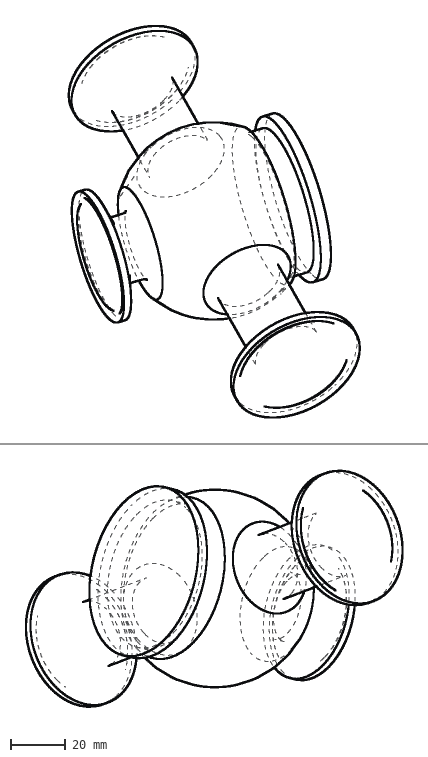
import cadquery as cq
import math

BALL_DIAMETER = 73.0
BALL_OFFSET_X = -0.43
SIDE_FLAT_DIAMETER = 34.95
FRONT_FLAT_DISTANCE = 29.4
BACK_FLAT_DISTANCE = 20.0

OVERALL_LENGTH_X = 158.75
OVERALL_LENGTH_Y = 79.88
SIDE_REACH = OVERALL_LENGTH_X / 2
BACK_REACH = 33.4
FRONT_REACH = OVERALL_LENGTH_Y - BACK_REACH

TUBE_DIAMETER = 25.4
FERRULE_DIAMETER = 50.5
FERRULE_BACK_ANGLE = 20.0
SIDE_FERRULE_RIM = 2.75
SIDE_BLEND_RADIUS = 3.8
FRONT_FERRULE_RIM = 2.87
FRONT_BLEND_RADIUS = 3.0

GROOVE_DIAMETER = 43.5
GROOVE_HALF_WIDTH = 1.9
GROOVE_WALL_ANGLE = 60.0

NECK_DIAMETER = 55.68
FLANGE_DIAMETER = 64.0
FLANGE_RIM = 4.1
FLANGE_THICKNESS = 5.2

SIDE_ROOT_RADIUS = 1.2
FRONT_ROOT_RADIUS = 3.1
BACK_ROOT_RADIUS = 1.0

RIGHT, BACK, LEFT, FRONT = 0, 90, 180, 270


def side_flat_distance():
    """Distance from the ball centre at which a flat has the side flat diameter."""
    return math.sqrt((BALL_DIAMETER / 2) ** 2 - (SIDE_FLAT_DIAMETER / 2) ** 2)


def make_ball():
    """Ball trimmed flat on the left, right, front and back."""
    half_x = side_flat_distance()
    trim = cq.Workplane("XY").box(
        2 * half_x,
        FRONT_FLAT_DISTANCE + BACK_FLAT_DISTANCE,
        2 * BALL_DIAMETER,
    )
    trim = trim.translate((0, (BACK_FLAT_DISTANCE - FRONT_FLAT_DISTANCE) / 2, 0))
    ball = cq.Workplane("XY").sphere(BALL_DIAMETER / 2).intersect(trim)
    return ball.translate((BALL_OFFSET_X, 0, 0))


def start_port(radius, flat, root_radius):
    """Begin a port half-profile along +X: axis, flat, and the fillet up to its tube."""
    start = root_radius * (1 - math.sqrt(0.5))
    return (
        cq.Workplane("XY")
        .lineTo(flat, 0)
        .lineTo(flat, radius + root_radius)
        .threePointArc((flat + start, radius + start), (flat + root_radius, radius))
    )


def finish_port(profile, direction):
    """Close a half-profile on the axis, revolve it about X and turn it to its direction."""
    port = profile.close().revolve(360, (0, 0, 0), (1, 0, 0))
    return port.rotate((0, 0, 0), (0, 0, 1), direction)


def add_groove(profile, face):
    """Run down a clamp face at x = face, through its gasket groove."""
    middle = GROOVE_DIAMETER / 2
    wall = math.radians(GROOVE_WALL_ANGLE)
    bend_half_width = GROOVE_HALF_WIDTH / 2
    bend_radius = bend_half_width / math.sin(wall)
    bend_depth = bend_radius * (1 - math.cos(wall))
    depth = 2 * bend_depth
    edge_y = GROOVE_HALF_WIDTH - bend_radius * math.sin(wall / 2)
    edge_x = face - bend_radius * (1 - math.cos(wall / 2))
    return (
        profile.lineTo(face, middle + GROOVE_HALF_WIDTH)
        .threePointArc((edge_x, middle + edge_y), (face - bend_depth, middle + bend_half_width))
        .threePointArc((face - depth, middle), (face - bend_depth, middle - bend_half_width))
        .threePointArc((edge_x, middle - edge_y), (face, middle - GROOVE_HALF_WIDTH))
    )


def make_ferrule_port(direction, flat, face, root_radius, rim, blend_radius):
    """Tube from the ball flat to a small clamp ferrule with a gasket groove."""
    tube_radius = TUBE_DIAMETER / 2
    rim_radius = FERRULE_DIAMETER / 2
    slope = math.radians(FERRULE_BACK_ANGLE)

    centre_y = tube_radius + blend_radius
    back_y = centre_y - blend_radius * math.sin(slope)
    back_x = face - rim - (rim_radius - back_y) * math.tan(slope)
    centre_x = back_x - blend_radius * math.cos(slope)
    mid_angle = (math.pi / 2 + slope) / 2
    mid_x = centre_x + blend_radius * math.cos(mid_angle)
    mid_y = centre_y - blend_radius * math.sin(mid_angle)

    profile = (
        start_port(tube_radius, flat, root_radius)
        .lineTo(centre_x, tube_radius)
        .threePointArc((mid_x, mid_y), (back_x, back_y))
        .lineTo(face - rim, rim_radius)
        .lineTo(face, rim_radius)
    )
    profile = add_groove(profile, face).lineTo(face, 0)
    return finish_port(profile, direction)


def make_flange_port():
    """Short wide neck and large clamp flange on the back flat."""
    profile = (
        start_port(NECK_DIAMETER / 2, BACK_FLAT_DISTANCE, BACK_ROOT_RADIUS)
        .lineTo(BACK_REACH - FLANGE_THICKNESS, NECK_DIAMETER / 2)
        .lineTo(BACK_REACH - FLANGE_RIM, FLANGE_DIAMETER / 2)
        .lineTo(BACK_REACH, FLANGE_DIAMETER / 2)
        .lineTo(BACK_REACH, 0)
    )
    return finish_port(profile, BACK)


left_flat = side_flat_distance() - BALL_OFFSET_X
right_flat = side_flat_distance() + BALL_OFFSET_X

side_ferrule = (SIDE_REACH, SIDE_ROOT_RADIUS, SIDE_FERRULE_RIM, SIDE_BLEND_RADIUS)
front_ferrule = (FRONT_REACH, FRONT_ROOT_RADIUS, FRONT_FERRULE_RIM, FRONT_BLEND_RADIUS)

result = (
    make_ball()
    .union(make_ferrule_port(LEFT, left_flat, *side_ferrule))
    .union(make_ferrule_port(RIGHT, right_flat, *side_ferrule))
    .union(make_ferrule_port(FRONT, FRONT_FLAT_DISTANCE, *front_ferrule))
    .union(make_flange_port())
)